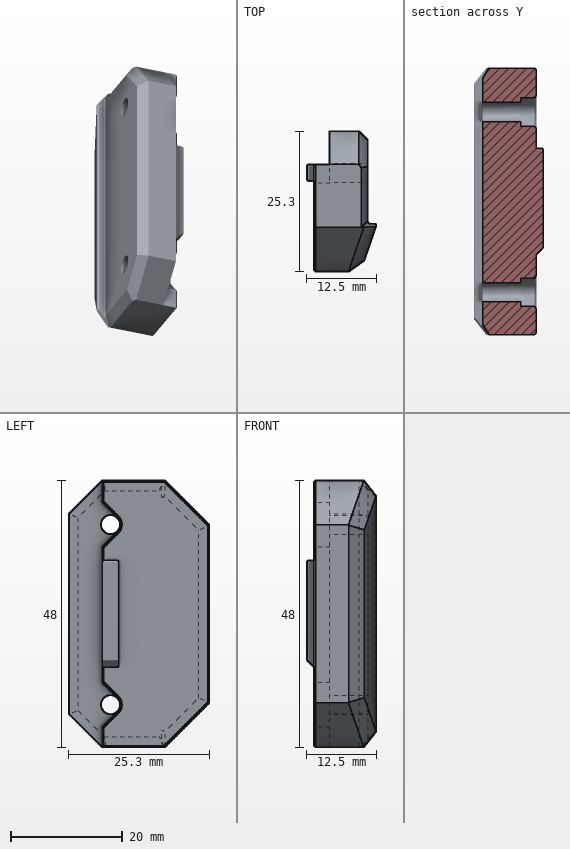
import cadquery as cq
import math

HEIGHT = 48.0
DEPTH = 25.28
PLATE_CORNER = 6.0
GRIP_CORNER = 8.0
BACK_X = 9.7
FRONT_CHAMFER = 0.3

STEP_Y = -6.0
STEP_DEPTH = 2.8
HOLE_DIAMETER = 3.4
HOLE_Y = -7.5
HOLE_SPACING = 32.4
HOLE_SHIFT_Z = -0.15
NOTCH_HALF_WIDTH = 4.0

PLATE_BEVEL = 1.6
END_BEVEL_X = 1.15
END_BEVEL_Z = 1.9

LIP_X = 11.22
LIP_Y = -16.65
LIP_RADIUS = 0.35
LIP_ROOT_RADIUS = 0.4
GRIP_TILT = math.radians(19)
GRIP_BEVEL = 2.1
LIP_END_NORMAL = (2.7, 1.65, 2.17)

RAIL_WIDTH = 3.0
RAIL_LENGTH = 19.2
RAIL_HEIGHT = 1.25
RAIL_FILLET = 0.35

HALF_HEIGHT = HEIGHT / 2
HOLE_HEIGHTS = [HOLE_SHIFT_Z + side * HOLE_SPACING / 2 for side in (1, -1)]
CORNER_Y = GRIP_CORNER - DEPTH
CUTTER_SIZE = 200.0

BACKWARD = cq.Vector(1, 0, 0)


def cut_beyond(solid, point, normal):
    """Remove everything on the normal side of a plane."""
    plane = cq.Plane(origin=point.toTuple(), normal=normal.toTuple())
    return solid.cut(cq.Workplane(plane).rect(CUTTER_SIZE, CUTTER_SIZE).extrude(CUTTER_SIZE))


def bevel(solid, edge_point, normal_a, normal_b, leg):
    """Flatten the edge between two faces, taking an equal leg from each face."""
    direction = (normal_a + normal_b).normalized()
    distance = leg * math.sqrt((1 - normal_a.dot(normal_b)) / 2)
    return cut_beyond(solid, edge_point - direction * distance, direction)


def make_plate_half():
    """Flat-backed part of the octagon, front edges still sharp."""
    body = (
        cq.Workplane("YZ")
        .polyline([
            (0, HALF_HEIGHT - PLATE_CORNER),
            (-PLATE_CORNER, HALF_HEIGHT),
            (CORNER_Y, HALF_HEIGHT),
            (CORNER_Y, -HALF_HEIGHT),
            (-PLATE_CORNER, -HALF_HEIGHT),
            (0, PLATE_CORNER - HALF_HEIGHT),
        ])
        .close()
        .extrude(BACK_X)
    )
    body = bevel(body, cq.Vector(BACK_X, 0, 0), BACKWARD, cq.Vector(0, 1, 0), PLATE_BEVEL)
    for side in (1, -1):
        diagonal = cq.Vector(0, 1, side).normalized()
        corner = cq.Vector(BACK_X, -PLATE_CORNER, side * HALF_HEIGHT)
        body = bevel(body, corner, BACKWARD, diagonal, PLATE_BEVEL)
        end_bevel_start = cq.Vector(BACK_X - END_BEVEL_X, 0, side * HALF_HEIGHT)
        body = cut_beyond(body, end_bevel_start, cq.Vector(END_BEVEL_Z, 0, side * END_BEVEL_X))
    return body


def make_grip_half():
    """Wedge with a tilted back face, bevelled rim and rounded lip."""
    lip_center_x = LIP_X - LIP_RADIUS
    lip_center_y = LIP_Y - LIP_RADIUS
    tangent_x = lip_center_x + LIP_RADIUS * math.cos(GRIP_TILT)
    tangent_y = lip_center_y - LIP_RADIUS * math.sin(GRIP_TILT)
    slope = math.tan(GRIP_TILT)
    rim_x = tangent_x - slope * (tangent_y + DEPTH)
    corner_x = tangent_x - slope * (tangent_y - CORNER_Y)
    diagonal_rim_angle = math.atan(slope / math.sqrt(2))
    bevel_start_x = corner_x - GRIP_BEVEL / math.cos(diagonal_rim_angle)
    root_y = LIP_Y + LIP_ROOT_RADIUS

    profile = (
        cq.Workplane("XY", origin=(0, 0, -HALF_HEIGHT))
        .moveTo(0, -DEPTH)
        .lineTo(rim_x, -DEPTH)
        .lineTo(tangent_x, tangent_y)
        .radiusArc((lip_center_x, LIP_Y), -LIP_RADIUS)
        .lineTo(BACK_X + LIP_ROOT_RADIUS, LIP_Y)
        .radiusArc((BACK_X, root_y), LIP_ROOT_RADIUS)
        .lineTo(BACK_X - END_BEVEL_X, CORNER_Y)
        .lineTo(0, CORNER_Y)
        .close()
    )
    grip = profile.extrude(HEIGHT)

    normal_x, normal_y, normal_z = LIP_END_NORMAL
    tilted = cq.Vector(math.cos(GRIP_TILT), -math.sin(GRIP_TILT), 0)
    outward = cq.Vector(0, -1, 0)
    grip = bevel(grip, cq.Vector(rim_x, -DEPTH, 0), tilted, outward, GRIP_BEVEL)
    for side in (1, -1):
        corner = cq.Vector(corner_x, CORNER_Y, side * HALF_HEIGHT)
        diagonal = cq.Vector(0, -1, side).normalized()
        grip = cut_beyond(grip, corner, diagonal)
        grip = bevel(grip, corner, tilted, diagonal, GRIP_BEVEL)
        bevel_start = cq.Vector(bevel_start_x, CORNER_Y, side * HALF_HEIGHT)
        grip = cut_beyond(grip, bevel_start, cq.Vector(normal_x, normal_y, side * normal_z))
    return grip


def make_front_recess():
    """Volume in front of the plate, with a round-nosed V notch around each hole."""
    recess = cq.Workplane("YZ").rect(-2 * STEP_Y, HEIGHT).extrude(STEP_DEPTH)
    apex_y = STEP_Y - NOTCH_HALF_WIDTH
    nose_radius = (HOLE_Y - apex_y) / math.sqrt(2)
    tangent_offset = nose_radius / math.sqrt(2)
    for hole_z in HOLE_HEIGHTS:
        notch = (
            cq.Workplane("YZ")
            .moveTo(STEP_Y, hole_z + NOTCH_HALF_WIDTH)
            .lineTo(HOLE_Y - tangent_offset, hole_z + tangent_offset)
            .threePointArc((HOLE_Y - nose_radius, hole_z), (HOLE_Y - tangent_offset, hole_z - tangent_offset))
            .lineTo(STEP_Y, hole_z - NOTCH_HALF_WIDTH)
            .close()
            .extrude(STEP_DEPTH)
        )
        recess = recess.union(notch)
    return recess


def make_holes():
    return (
        cq.Workplane("YZ")
        .pushPoints([(HOLE_Y, hole_z) for hole_z in HOLE_HEIGHTS])
        .circle(HOLE_DIAMETER / 2)
        .extrude(BACK_X)
    )


def make_rail():
    """Rail flush with the step, rounded edges, with a 45 degree ramp at its lower end."""
    half_length = RAIL_LENGTH / 2
    rail = (
        cq.Workplane("XZ", origin=(0, STEP_Y, 0))
        .polyline([
            (0, half_length),
            (-RAIL_HEIGHT, half_length),
            (-RAIL_HEIGHT, RAIL_HEIGHT - half_length),
            (0, -half_length),
        ])
        .close()
        .extrude(RAIL_WIDTH)
        .faces("<X or >Z or <Z")
        .edges("not >X")
        .fillet(RAIL_FILLET)
    )
    foot = (
        cq.Workplane("XY")
        .box(STEP_DEPTH, RAIL_WIDTH, RAIL_LENGTH, centered=(False, False, True))
        .translate((0, STEP_Y - RAIL_WIDTH, 0))
    )
    return rail.union(foot)


body = make_plate_half().union(make_grip_half())
body = body.cut(make_front_recess())
body = body.faces("<X").chamfer(FRONT_CHAMFER)
body = body.cut(make_holes())
result = body.union(make_rail())